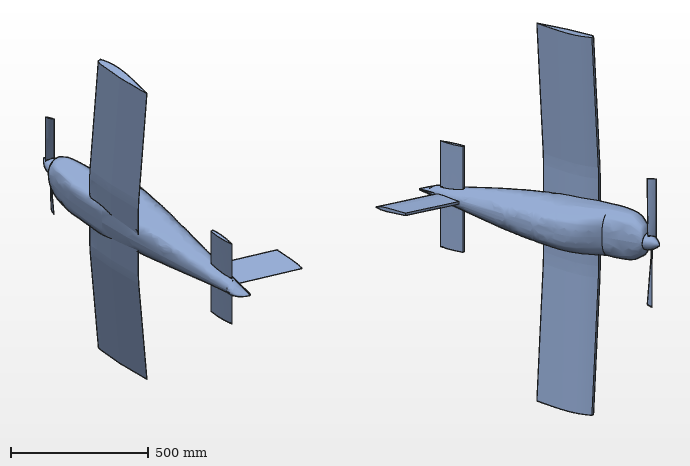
import cadquery as cq
import math


length = 1064.19
wing_span = 1487.19
height = 350.16
belly_y = -88.3
fin_top_y = belly_y + height

spinner_length = 60.0
spinner_radius = 31.0
spinner_mid_x = 27.0
spinner_mid_radius = 22.0
thrust_tilt = 6.0
spinner_overlap = 8.0

blade_tip_z = 247.5
blade_front = (28.0, -20.5)
blade_root_rear = (46.0, 8.5)
blade_tip_rear = (59.0, -5.5)
blade_bulge = 2.5
propeller_y = -6.0

cowl_stations = [
    (spinner_length, 25.0, -5.0, -35.0, 30.0, 2.0, 2.0),
    (68.0, 27.5, -8.0, -46.0, 51.0, 2.1, 2.2),
    (80.0, 30.0, -11.0, -56.0, 65.0, 2.2, 2.5),
    (100.0, 32.5, -14.0, -67.0, 79.0, 2.3, 2.8),
    (145.0, 39.0, -18.0, -78.5, 90.5, 2.5, 3.3),
    (185.0, 45.5, -19.5, -84.6, 91.5, 2.6, 3.7),
    (220.0, 49.0, -20.0, belly_y, 90.5, 2.6, 4.0),
]
cabin_stations = [
    cowl_stations[-1],
    (245.0, 69.0, -16.0, belly_y, 90.5, 2.6, 4.0),
    (275.0, 91.0, -11.0, belly_y, 90.5, 2.6, 4.0),
    (320.0, 110.0, -5.0, -87.5, 90.0, 2.7, 4.5),
    (382.0, 116.0, 0.0, -84.5, 88.5, 2.8, 5.0),
]
rear_stations = [
    cabin_stations[-1],
    (470.0, 111.0, 0.0, -77.5, 86.0, 2.6, 3.5),
    (560.0, 101.0, 3.0, -66.5, 81.0, 2.4, 2.9),
    (750.0, 74.5, 9.0, -39.0, 56.5, 2.2, 2.4),
    (947.0, 44.0, 16.0, -10.5, 28.0, 2.0, 2.0),
]
tail_cone_stations = [
    rear_stations[-1],
    (985.0, 39.5, 18.0, -9.5, 14.5, 2.0, 2.0),
    (1006.0, 37.0, 22.0, 3.0, 7.0, 2.0, 2.0),
    (1024.0, 35.0, 31.0, 27.0, 2.5, 2.0, 2.0),
]
quarter_steps = 8

wing_front_x = 305.0
wing_chord = 243.0
wing_bottom_y = -76.8
wing_thickness = 33.5
wing_nose_bottom_rise = 6.0
wing_nose_top_rise = 18.0
wing_peak_x = 395.0
wing_aft_x = 485.0
wing_aft_drop = 10.0
wing_tail_rise = 12.0
wing_tail_thickness = 1.5
wing_flat_start_x = 350.0
wing_joint_x = 381.0
wing_flat_end_x = 422.0
bend_start_z = 172.0
bend_end_z = 217.0
dihedral = 4.6

tailplane_span = 416.0
tailplane_front_x = 838.0
tailplane_chord = 100.5
tailplane_bottom_y = 17.5
tailplane_nose_height = 10.5
tailplane_thickness = 14.0
tailplane_tail_rise = 7.5
tailplane_tail_thickness = 1.0

fin_chord = 129.0
fin_sweep = 0.51
fin_root_y = 28.0
fin_nose_half = 5.0
fin_half_thickness = 7.5
fin_hinge_half = 6.5
fin_tail_half = 0.5
fin_peak_fraction = 0.60
fin_hinge_fraction = 0.82


def superellipse_point(half_width, half_height, power, turn):
    """Offsets across and along the height, at an angle `turn` away from the vertical."""
    across = half_width * math.sin(turn) ** (2 / power)
    along = half_height * math.cos(turn) ** (2 / power)
    return across, along


def fuselage_section(station):
    """Closed wire of two mirrored half curves that meet at the top and the bottom."""
    x, top, widest, bottom, half_width, power_above, power_below = station
    half = []
    for step in range(-quarter_steps, quarter_steps + 1):
        turn = math.pi / 2 * (1 - abs(step) / quarter_steps)
        if step < 0:
            across, drop = superellipse_point(half_width, widest - bottom, power_below, turn)
            half.append((across, widest - drop))
        else:
            across, rise = superellipse_point(half_width, top - widest, power_above, turn)
            half.append((across, widest + rise))
    edges = []
    for side in (1, -1):
        points = [cq.Vector(x, y, side * z) for z, y in half]
        tangents = [cq.Vector(0, 0, side), cq.Vector(0, 0, -side)]
        edges.append(cq.Edge.makeSpline(points, tangents=tangents))
    return cq.Wire.assembleEdges(edges)


def fuselage_part(stations):
    return cq.Workplane(cq.Solid.makeLoft([fuselage_section(station) for station in stations]))


def spinner():
    end = spinner_length + spinner_overlap
    profile = (
        cq.Workplane("XY")
        .moveTo(0, 0)
        .threePointArc((spinner_mid_x, spinner_mid_radius), (spinner_length, spinner_radius))
        .lineTo(end, spinner_radius)
        .lineTo(end, 0)
        .close()
    )
    return profile.revolve(360, (0, 0, 0), (1, 0, 0)).rotate((0, 0, 0), (0, 0, 1), -thrust_tilt)


def blade_section(front, rear, z):
    """Lens-shaped section between a front and a rear edge."""
    run = rear[0] - front[0]
    rise = rear[1] - front[1]
    chord = math.hypot(run, rise)
    middle = ((front[0] + rear[0]) / 2, (front[1] + rear[1]) / 2)
    offset = (-rise / chord * blade_bulge, run / chord * blade_bulge)
    start = cq.Vector(*front, z)
    end = cq.Vector(*rear, z)
    edges = []
    for side, first, last in ((1, start, end), (-1, end, start)):
        crown = cq.Vector(middle[0] + side * offset[0], middle[1] + side * offset[1], z)
        edges.append(cq.Edge.makeThreePointArc(first, crown, last))
    return cq.Wire.assembleEdges(edges)


def blade():
    root = blade_section(blade_front, blade_root_rear, 0)
    tip = blade_section(blade_front, blade_tip_rear, blade_tip_z)
    return cq.Workplane(cq.Solid.makeLoft([root, tip], True))


def wing_section(lift, z):
    """Wing section at span position z, raised by lift."""
    base = wing_bottom_y + lift
    peak_y = base + wing_thickness
    tail_x = wing_front_x + wing_chord
    tail_bottom = base + wing_tail_rise
    return (
        cq.Workplane("XY", origin=(0, 0, z))
        .moveTo(wing_front_x, base + wing_nose_bottom_rise)
        .lineTo(wing_front_x, base + wing_nose_top_rise)
        .spline(
            [
                (wing_peak_x, peak_y),
                (wing_aft_x, peak_y - wing_aft_drop),
                (tail_x, tail_bottom + wing_tail_thickness),
            ],
            includeCurrent=True,
        )
        .lineTo(tail_x, tail_bottom)
        .lineTo(wing_flat_end_x, base)
        .lineTo(wing_joint_x, base)
        .lineTo(wing_flat_start_x, base)
        .spline(
            [(wing_front_x, base + wing_nose_bottom_rise)],
            tangents=[(-1, 0), (-1, 1)],
            includeCurrent=True,
        )
        .wire()
        .val()
    )


def panel(sections):
    return cq.Workplane(cq.Solid.makeLoft(sections, True))


def wing_half():
    """Centre, bend and outer panels on the +Z side."""
    slope = math.tan(math.radians(dihedral))
    tip_z = wing_span / 2
    bend_width = bend_end_z - bend_start_z
    bend_lift = slope * bend_width / 2
    middle_lift = bend_lift / 4
    root = wing_section(0, 0)
    bend_start = wing_section(0, bend_start_z)
    bend_middle = wing_section(middle_lift, bend_start_z + bend_width / 2)
    bend_end = wing_section(bend_lift, bend_end_z)
    tip = wing_section(bend_lift + slope * (tip_z - bend_end_z), tip_z)
    bend = cq.Workplane(cq.Solid.makeLoft([bend_start, bend_middle, bend_end]))
    return [panel([root, bend_start]), bend, panel([bend_end, tip])]


def tailplane():
    tail_x = tailplane_front_x + tailplane_chord
    middle_x = tailplane_front_x + tailplane_chord / 2
    tail_y = tailplane_bottom_y + tailplane_tail_rise
    return (
        cq.Workplane("XY")
        .moveTo(tailplane_front_x, tailplane_bottom_y)
        .lineTo(tailplane_front_x, tailplane_bottom_y + tailplane_nose_height)
        .spline(
            [(middle_x, tailplane_bottom_y + tailplane_thickness), (tail_x, tail_y + tailplane_tail_thickness)],
            includeCurrent=True,
        )
        .lineTo(tail_x, tail_y)
        .spline(
            [(middle_x, tailplane_bottom_y), (tailplane_front_x, tailplane_bottom_y)],
            includeCurrent=True,
        )
        .close()
        .extrude(tailplane_span / 2, both=True)
    )


def fin_section(y):
    front_x = length - fin_chord - fin_sweep * (fin_top_y - y)
    outline = [
        (0, fin_nose_half),
        (fin_peak_fraction, fin_half_thickness),
        (fin_hinge_fraction, fin_hinge_half),
        (1, fin_tail_half),
    ]
    one_side = [cq.Vector(front_x + part * fin_chord, y, half) for part, half in outline]
    other_side = [cq.Vector(point.x, y, -point.z) for point in reversed(one_side)]
    return cq.Wire.makePolygon(one_side + other_side, close=True)


def propeller():
    upper = blade()
    lower = upper.rotate((0, propeller_y, 0), (1, propeller_y, 0), 180)
    return [upper, lower]


parts = [fuselage_part(stations) for stations in (cabin_stations, rear_stations, tail_cone_stations)]
parts += wing_half()
parts += [half.mirror("XY") for half in wing_half()]
parts += [tailplane(), panel([fin_section(fin_root_y), fin_section(fin_top_y)]), spinner()]
parts += propeller()

result = fuselage_part(cowl_stations)
for part in parts:
    result = result.union(part, clean=False)